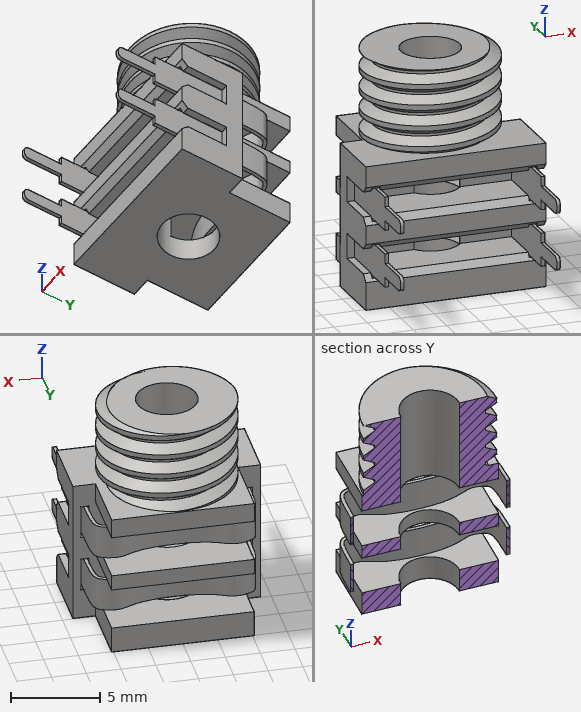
import cadquery as cq
import math


total_height = 13.6
total_depth = 12.1
wing_width = 10.8
flange_size = 8.2
block_height = 8.6
bore_radius = 1.75

lower_level_z = 2.8
level_pitch = 3.4
level_z = [lower_level_z, lower_level_z + level_pitch]
rear_gap_height = 2.48

pocket_height = 1.5
pocket_floor_y = -1.09
pocket_chamfer = 0.4

slot_width = 0.48
slot_x = 4.7

thread_radius = 4.0
thread_pitch = 1.243
flank_angle = math.radians(30)
thread_height = total_height - block_height
thread_depth = 5 / 16 * thread_pitch / math.tan(flank_angle)
root_width = thread_pitch / 8
groove_height_at_x = 12.5
groove_overshoot = 0.14
groove_turns = 6
groove_turns_below = 4

strip_thickness = 0.22
strip_height = 1.99
leg_x = 4.68
blade_end_y = -5.51
pin_height = 0.85
pin_tip_radius = 0.31
lean_end = (-4.61, 1.63)
corner_middle = (-4.43, 2.15)
corner_end = (-3.92, 2.41)
bridge_y = 1.77

block_front_y = -flange_size / 2
block_back_y = flange_size / 2
pin_tip_y = block_back_y - total_depth


def box(width, y_front, y_back, z_bottom, height):
    """Box centred on X = 0."""
    depth = y_back - y_front
    return (
        cq.Workplane("XY")
        .box(width, depth, height, centered=(True, False, False))
        .translate((0, y_front, z_bottom))
    )


def make_block():
    """Wide front half with narrower flanges behind it."""
    front_half = box(wing_width, block_front_y, 0, 0, block_height)
    rear_half = box(flange_size, 0, block_back_y, 0, block_height)
    for z in level_z:
        gap_bottom = z - rear_gap_height / 2
        rear_half = rear_half.cut(box(flange_size, 0, block_back_y, gap_bottom, rear_gap_height))
    return front_half.union(rear_half)


def make_pocket(z):
    """Groove across the whole front face, flared at its mouth."""
    half_height = pocket_height / 2
    mouth_half = half_height + pocket_chamfer
    flare_y = block_front_y + pocket_chamfer
    return (
        cq.Workplane("YZ")
        .polyline([
            (pocket_floor_y, z - half_height),
            (flare_y, z - half_height),
            (block_front_y, z - mouth_half),
            (block_front_y, z + mouth_half),
            (flare_y, z + half_height),
            (pocket_floor_y, z + half_height),
        ])
        .close()
        .extrude(wing_width / 2, both=True)
    )


def make_leg_slot(side, z):
    """Slot through the front half, as tall as the contact strip."""
    slot = box(slot_width, block_front_y, 0, z - strip_height / 2, strip_height)
    return slot.translate((side * slot_x, 0, 0))


def make_threaded_neck():
    """Long cylinder with a right-hand helical groove, trimmed flat to the neck height."""
    root_radius = thread_radius - thread_depth
    outer_radius = thread_radius + groove_overshoot
    root_half = root_width / 2
    outer_half = root_half + (outer_radius - root_radius) * math.tan(flank_angle)
    groove_bottom = groove_height_at_x - groove_turns_below * thread_pitch
    helix = cq.Wire.makeHelix(thread_pitch, groove_turns * thread_pitch, thread_radius)
    groove = (
        cq.Workplane("XZ")
        .polyline([
            (root_radius, -root_half),
            (outer_radius, -outer_half),
            (outer_radius, outer_half),
            (root_radius, root_half),
        ])
        .close()
        .sweep(cq.Workplane(helix), isFrenet=True)
        .translate((0, 0, groove_bottom))
    )
    blank_bottom = groove_bottom - thread_pitch
    blank_height = (groove_turns + 2) * thread_pitch
    blank = (
        cq.Workplane("XY", origin=(0, 0, blank_bottom))
        .circle(thread_radius)
        .extrude(blank_height)
        .rotate((0, 0, 0), (0, 0, 1), 180)
    )
    neck_envelope = box(wing_width, -wing_width / 2, wing_width / 2, block_height, thread_height)
    return blank.cut(groove).intersect(neck_envelope)


def make_housing():
    """Block with its pockets and leg slots, the threaded neck and the bore through both."""
    housing = make_block()
    for z in level_z:
        housing = housing.cut(make_pocket(z))
        for side in (-1, 1):
            housing = housing.cut(make_leg_slot(side, z))
    bore = cq.Workplane("XY").circle(bore_radius).extrude(total_height)
    return housing.union(make_threaded_neck()).cut(bore)


def make_half_strip():
    """Left half of the bent strip: straight leg, then one smooth curve round to mid-bridge."""
    path = (
        cq.Workplane("XY")
        .moveTo(-leg_x, blade_end_y)
        .lineTo(-leg_x, 0)
        .spline(
            [lean_end, corner_middle, corner_end, (0, bridge_y)],
            tangents=[(0, 1), (1, 0)],
            includeCurrent=True,
        )
    )
    return (
        cq.Workplane("XZ", origin=(-leg_x, blade_end_y, 0))
        .rect(strip_thickness, strip_height)
        .sweep(path)
    )


def make_pin():
    """Flat terminal pin with rounded tip corners, ahead of the left leg."""
    pin = box(strip_thickness, pin_tip_y, blade_end_y, -pin_height / 2, pin_height)
    return pin.edges("|X and <Y").fillet(pin_tip_radius).translate((-leg_x, 0, 0))


def make_contact(z):
    """One U-shaped spring contact with a terminal pin on each leg."""
    left_half = make_half_strip().union(make_pin())
    right_half = left_half.mirror("YZ")
    return left_half.union(right_half).translate((0, 0, z))


housing = make_housing()
contacts = [make_contact(z) for z in level_z]

result = cq.Compound.makeCompound([housing.val(), *[contact.val() for contact in contacts]])